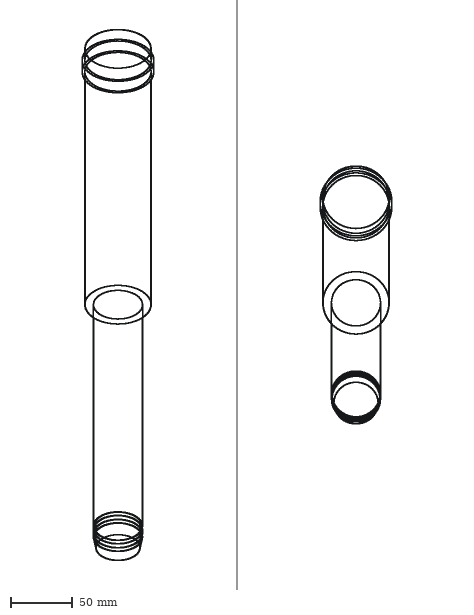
import cadquery as cq

total_length = 503.0
sleeve_diameter = 54.5
collar_diameter = 59.0
shaft_diameter = 40.0

sleeve_length = 258.0
collar_offset = 11.5
collar_height = 11.5

tip_height = 10.5
tip_end_diameter = 36.0
groove_width = 3.5
groove_spacing = 7.5
groove_count = 2
groove_depth = 0.5


def cylinder(diameter, bottom, height):
    """Return a vertical cylinder on the part axis."""
    return cq.Workplane("XY").workplane(offset=bottom).circle(diameter / 2).extrude(height)


def shaft():
    """Return the full-length core with its lower end tapered."""
    shaft_radius = shaft_diameter / 2
    end_radius = tip_end_diameter / 2
    profile = (
        cq.Workplane("XZ")
        .lineTo(end_radius, 0)
        .lineTo(shaft_radius, tip_height)
        .lineTo(shaft_radius, total_length)
        .lineTo(0, total_length)
        .close()
    )
    return profile.revolve(360, (0, 0, 0), (0, 1, 0))


def groove(bottom):
    """Return the ring of material removed by one groove around the shaft."""
    outer = cylinder(collar_diameter, bottom, groove_width)
    core = cylinder(shaft_diameter - 2 * groove_depth, bottom, groove_width)
    return outer.cut(core)


sleeve = cylinder(sleeve_diameter, total_length - sleeve_length, sleeve_length)
collar_bottom = total_length - collar_offset - collar_height
collar = cylinder(collar_diameter, collar_bottom, collar_height)

result = shaft().union(sleeve).union(collar)
for index in range(groove_count):
    result = result.cut(groove(tip_height + index * groove_spacing))